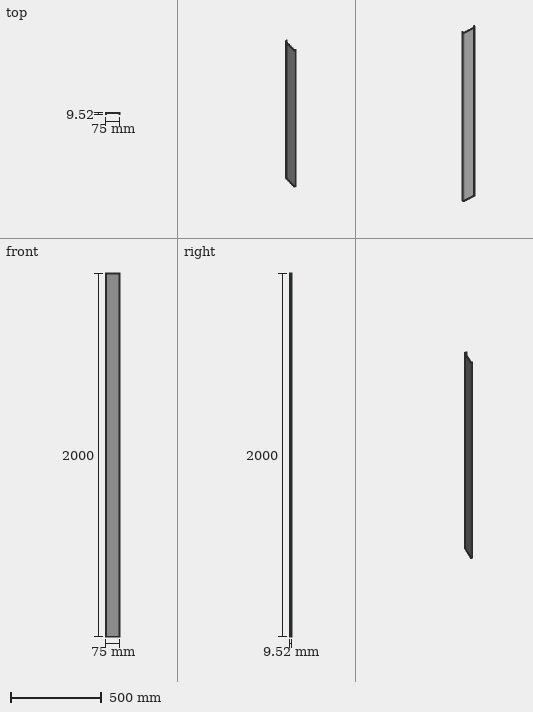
import cadquery as cq

WIDTH = 75.0
LENGTH = 2000.0
SHEET_THICKNESS = 1.52
FLANGE_INNER_HEIGHT = 8.0
INNER_BEND_RADIUS = 0.5

DEPTH = FLANGE_INNER_HEIGHT + SHEET_THICKNESS
OUTER_BEND_RADIUS = INNER_BEND_RADIUS + SHEET_THICKNESS


def rounded_bar(width, depth, bend_radius):
    """Full-length bar with its tip side on Y = 0 and its two +Y edges rounded."""
    return (
        cq.Workplane("XY")
        .box(width, depth, LENGTH, centered=(True, False, True))
        .edges("|Z and >Y")
        .fillet(bend_radius)
    )


envelope = rounded_bar(WIDTH, DEPTH, OUTER_BEND_RADIUS)
hollow = rounded_bar(WIDTH - 2 * SHEET_THICKNESS, FLANGE_INNER_HEIGHT, INNER_BEND_RADIUS)

result = envelope.cut(hollow).translate((0, -DEPTH / 2, 0))